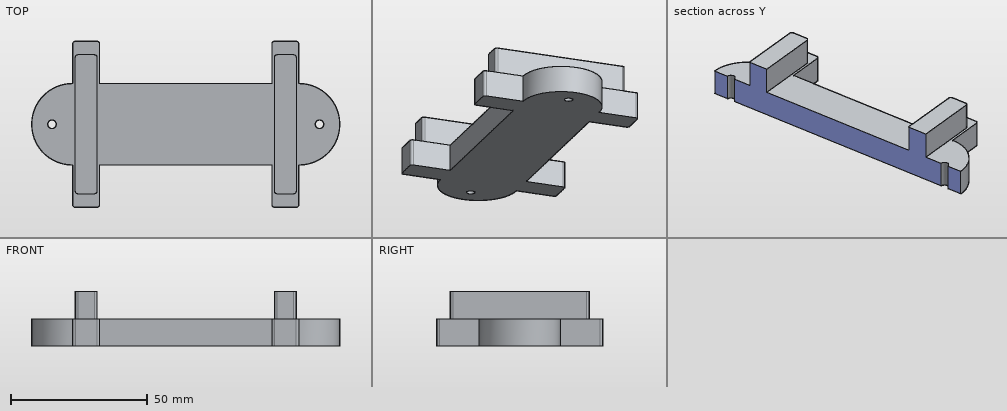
import cadquery as cq

length = 113.1
plate_width = 30.0
plate_thickness = 10.0
end_radius = plate_width / 2

bar_width = 10.0
bar_length = 61.0
bar_offset = 36.5

total_height = 20.0
ridge_width = 8.0
ridge_length = 51.0
corner_radius = 1.0

hole_diameter = 3.0
hole_offset = length / 2 - end_radius / 2


def rounded_bar(x_size, y_size, height):
    """Upright block with rounded vertical edges, standing on Z = 0."""
    block = cq.Workplane("XY").box(x_size, y_size, height, centered=(True, True, False))
    return block.edges("|Z").fillet(corner_radius)


result = cq.Workplane("XY").slot2D(length, plate_width).extrude(plate_thickness)

for side in (-1, 1):
    bar = rounded_bar(bar_width, bar_length, plate_thickness)
    ridge = rounded_bar(ridge_width, ridge_length, total_height)
    for block in (bar, ridge):
        result = result.union(block.translate((side * bar_offset, 0, 0)))

result = (
    result.faces("<Z")
    .workplane(origin=(0, 0, 0))
    .pushPoints([(-hole_offset, 0), (hole_offset, 0)])
    .hole(hole_diameter)
)